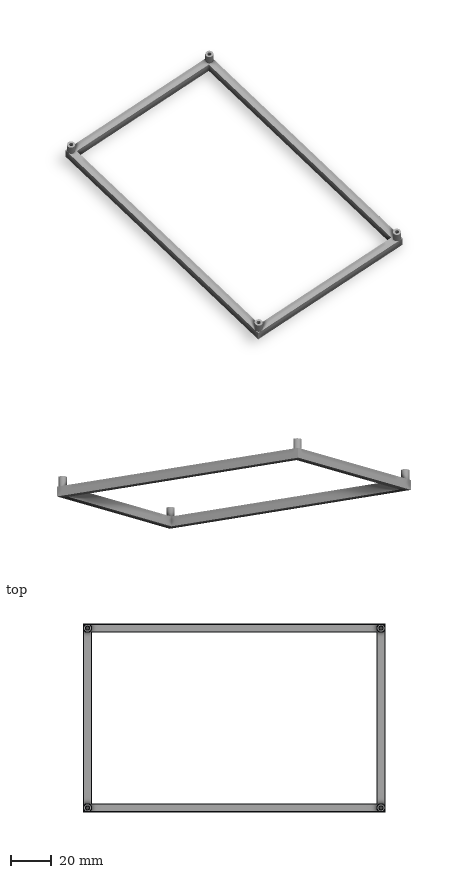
import cadquery as cq

frame_length = 148.5
frame_width = 92.5
total_height = 10.0

bar_width = 4.0
bar_height = total_height / 2
post_height = total_height - bar_height

post_diameter = bar_width
hole_diameter = post_diameter / 2
post_spacing_x = frame_length - post_diameter
post_spacing_y = frame_width - post_diameter


def make_frame():
    """Rectangular frame resting on Z = 0."""
    return (
        cq.Workplane("XY")
        .rect(frame_length, frame_width)
        .rect(frame_length - 2 * bar_width, frame_width - 2 * bar_width)
        .extrude(bar_height)
    )


def make_posts():
    """Four tubular posts whose bores stop at the top face of the frame."""
    return (
        cq.Workplane("XY", origin=(0, 0, bar_height))
        .rect(post_spacing_x, post_spacing_y, forConstruction=True)
        .vertices()
        .circle(post_diameter / 2)
        .circle(hole_diameter / 2)
        .extrude(post_height)
    )


result = make_frame().union(make_posts())